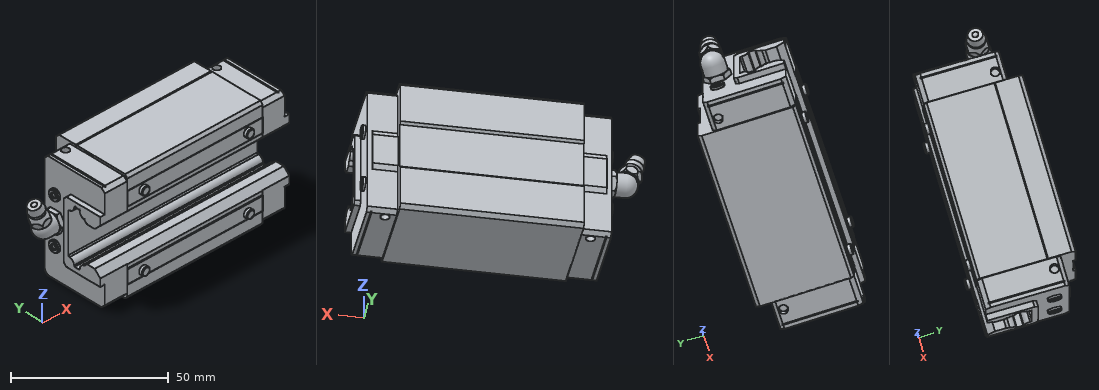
import cadquery as cq
import math


BLOCK_LENGTH = 59.4
BLOCK_WIDTH = 48.0
BLOCK_TOP = 32.7
BLOCK_BOTTOM = -0.1
BLOCK_TOP_CHAMFER = 1.4
BLOCK_BOTTOM_CHAMFER_Y = 1.0
BLOCK_BOTTOM_CHAMFER_Z = 1.2
RELIEF_DEPTH = 0.8
RELIEF_HALF_WIDTH = 8.0
DATUM_GROOVE_Y = 23.45
DATUM_GROOVE_WIDTH = 0.3
DATUM_GROOVE_DEPTH = 0.2

STRIP_BOTTOM = -0.3
STRIP_INNER_Z = 11.9
STRIP_INNER_BEVEL = 0.3
STRIP_OUTER_Z = 18.1
STRIP_SCREW_DIAMETER = 3.5
STRIP_SCREW_CHAMFER = 0.3
STRIP_SCREW_END_Y = -1.8
STRIP_SCREW_X = 23.0
STRIP_SCREW_Z = 15.6

CAP_END_X = 39.5
CAP_WIDTH = 46.2
CAP_TOP = 27.7
CAP_TOP_CHAMFER = 1.4
CAP_BOTTOM_CHAMFER_Y = 1.7
CAP_BOTTOM_CHAMFER_Z = 1.4
PAD_END_X = 37.8
PAD_HEIGHT = 0.8
PAD_HALF_WIDTH_TOP = 5.5
PAD_HALF_WIDTH_BASE = 7.3
JOINT_WIDTH = 0.3
JOINT_DEPTH = 0.3
PORT_DIAMETER = 3.0
PORT_DEPTH = 2.8
PORT_X = 33.2
PORT_Y = 24.7

FITTING_Y = 22.7
CAP_SCREW_Z = 9.9
CAP_SCREW_DIAMETER = 4.5
CAP_SCREW_HEIGHT = 1.0
CAP_SCREW_CHAMFER = 0.3
CAP_SCREW_SOCKET_DIAMETER = 2.2
CAP_SCREW_SOCKET_DEPTH = 0.6

SEAL_END_X = 41.5
SEAL_HALF_WIDTH = 13.5
SEAL_TOP = 16.8
SEAL_CHAMFER = 1.2

MOUTH_HALF_WIDTH = 10.2
LIP_HALF_WIDTH = 7.7
LIP_START_Y = 2.5
LIP_END_Y = 6.2
RACE_EDGE_HALF_WIDTH = 9.0
RACE_MIDDLE_HALF_WIDTH = 9.6
RACE_ROOT_HALF_WIDTH = 11.1
NECK_Y = 10.75
RACE_EDGE_OFFSET = 3.3
RACE_MIDDLE_OFFSET = 1.95
RACE_ROOT_OFFSET = 1.3
NECK_OFFSET = 1.0
NECK_HALF_WIDTH = 11.6
CHANNEL_ROOF_Y = 14.7
ROOF_HALF_WIDTH = 8.6

BASE_HEX_FLATS = 8.0
BASE_HEX_LENGTH = 1.95
BASE_HEX_CHAMFER = 0.5
ELBOW_DIAMETER = 8.0
ELBOW_CENTRE_X = -44.9
ARM_TILT = 21.0
ARM_HEX_FLATS = 6.9
ARM_HEX_START = 2.9
ARM_HEX_END = 6.5
ARM_HEX_START_DIAMETER = 6.9
ARM_HEX_END_DIAMETER = 6.0
ARM_HEX_LOWER_CHAMFER_LENGTH = 0.7
ARM_HEX_UPPER_CHAMFER_LENGTH = 1.9
NECK_DISTANCE = 7.0
NECK_DIAMETER = 5.5
HEAD_DISTANCE = 8.4
SHOULDER_BULGE = 0.1
HEAD_DIAMETER = 6.2
TIP_DISTANCE = 11.2
TIP_DIAMETER = 4.9
BALL_DIAMETER = 2.0
BALL_HEIGHT = 0.6


def prism(outline, start_x, end_x):
    """Extrude a closed (Y, Z) outline along X."""
    return outline.extrude(end_x - start_x).translate((start_x, 0, 0))


def section():
    return cq.Workplane("YZ")


def both_sides(half):
    """Complete a (Y, Z) half outline with its mirror image across Z = 0."""
    return half + [(y, -z) for y, z in reversed(half)]


def make_block():
    half_width = BLOCK_WIDTH / 2
    outline = both_sides([
        (BLOCK_TOP - RELIEF_DEPTH, RELIEF_HALF_WIDTH),
        (BLOCK_TOP, RELIEF_HALF_WIDTH + RELIEF_DEPTH),
        (BLOCK_TOP, half_width - BLOCK_TOP_CHAMFER),
        (BLOCK_TOP - BLOCK_TOP_CHAMFER, half_width),
        (BLOCK_BOTTOM + BLOCK_BOTTOM_CHAMFER_Y, half_width),
        (BLOCK_BOTTOM, half_width - BLOCK_BOTTOM_CHAMFER_Z),
    ])
    half_length = BLOCK_LENGTH / 2
    block = prism(section().polyline(outline).close(), -half_length, half_length)
    groove = cq.Workplane("XY").box(BLOCK_LENGTH, DATUM_GROOVE_WIDTH, 2 * DATUM_GROOVE_DEPTH)
    return block.cut(groove.translate((0, DATUM_GROOVE_Y, half_width)))


def make_strip(side):
    """Retainer strip on the rail-side face; side is +1 or -1 along Z."""
    half_length = BLOCK_LENGTH / 2
    outline = section().polyline([
        (0, side * STRIP_INNER_Z),
        (BLOCK_BOTTOM, side * STRIP_INNER_Z),
        (STRIP_BOTTOM, side * (STRIP_INNER_Z + STRIP_INNER_BEVEL)),
        (STRIP_BOTTOM, side * STRIP_OUTER_Z),
        (0, side * STRIP_OUTER_Z),
    ])
    return prism(outline.close(), -half_length, half_length)


def make_strip_screw(x, z):
    """Screw end standing out of a retainer strip toward -Y."""
    shank = cq.Workplane("XZ").circle(STRIP_SCREW_DIAMETER / 2).extrude(-STRIP_SCREW_END_Y)
    return shank.faces("<Y").chamfer(STRIP_SCREW_CHAMFER).translate((x, 0, z))


def make_end_cap():
    """End cap at the +X end, with its pad, joint grooves and ports."""
    start_x = BLOCK_LENGTH / 2
    half_width = CAP_WIDTH / 2
    outline = both_sides([
        (CAP_TOP, half_width - CAP_TOP_CHAMFER),
        (CAP_TOP - CAP_TOP_CHAMFER, half_width),
        (CAP_BOTTOM_CHAMFER_Y, half_width),
        (0, half_width - CAP_BOTTOM_CHAMFER_Z),
    ])
    cap = prism(section().polyline(outline).close(), start_x, CAP_END_X)
    pad_outline = both_sides([
        (CAP_TOP + PAD_HEIGHT, PAD_HALF_WIDTH_TOP),
        (CAP_TOP, PAD_HALF_WIDTH_BASE),
    ])
    cap = cap.union(prism(section().polyline(pad_outline).close(), start_x, PAD_END_X))
    for side in (1, -1):
        joint = cq.Workplane("XY").box(JOINT_WIDTH, 2 * CAP_TOP, 2 * JOINT_DEPTH)
        cap = cap.cut(joint.translate((PAD_END_X + JOINT_WIDTH / 2, 0, side * half_width)))
        port = cq.Workplane("XY").circle(PORT_DIAMETER / 2).extrude(2 * PORT_DEPTH)
        cap = cap.cut(port.translate((PORT_X, PORT_Y, side * half_width - PORT_DEPTH)))
    return cap


def make_cap_screw(z):
    """Socket-head screw on the +X face of an end cap."""
    head = cq.Workplane("YZ").circle(CAP_SCREW_DIAMETER / 2).extrude(CAP_SCREW_HEIGHT)
    head = head.faces(">X").chamfer(CAP_SCREW_CHAMFER)
    socket = cq.Workplane("YZ").circle(CAP_SCREW_SOCKET_DIAMETER / 2).extrude(CAP_SCREW_SOCKET_DEPTH)
    head = head.cut(socket.translate((CAP_SCREW_HEIGHT - CAP_SCREW_SOCKET_DEPTH, 0, 0)))
    return head.translate((CAP_END_X, FITTING_Y, z))


def make_seal():
    """End seal on the +X face of an end cap."""
    outline = both_sides([
        (SEAL_TOP, SEAL_HALF_WIDTH - SEAL_CHAMFER),
        (SEAL_TOP - SEAL_CHAMFER, SEAL_HALF_WIDTH),
        (0, SEAL_HALF_WIDTH),
    ])
    return prism(section().polyline(outline).close(), CAP_END_X, SEAL_END_X)


def make_rail_channel():
    """Cutter for the rail channel, running the full length of the carriage."""
    slope = (MOUTH_HALF_WIDTH - LIP_HALF_WIDTH) / LIP_START_Y
    floor_y = 2 * STRIP_BOTTOM
    floor_half_width = MOUTH_HALF_WIDTH - slope * floor_y
    half = (
        section()
        .moveTo(floor_y, 0)
        .lineTo(floor_y, floor_half_width)
        .lineTo(LIP_START_Y, LIP_HALF_WIDTH)
        .lineTo(LIP_END_Y, LIP_HALF_WIDTH)
        .lineTo(NECK_Y - RACE_EDGE_OFFSET, RACE_EDGE_HALF_WIDTH)
        .threePointArc(
            (NECK_Y - RACE_MIDDLE_OFFSET, RACE_MIDDLE_HALF_WIDTH),
            (NECK_Y - RACE_ROOT_OFFSET, RACE_ROOT_HALF_WIDTH),
        )
        .lineTo(NECK_Y - NECK_OFFSET, NECK_HALF_WIDTH)
        .lineTo(NECK_Y + NECK_OFFSET, NECK_HALF_WIDTH)
        .lineTo(NECK_Y + RACE_ROOT_OFFSET, RACE_ROOT_HALF_WIDTH)
        .threePointArc(
            (NECK_Y + RACE_MIDDLE_OFFSET, RACE_MIDDLE_HALF_WIDTH),
            (NECK_Y + RACE_EDGE_OFFSET, RACE_EDGE_HALF_WIDTH),
        )
        .lineTo(CHANNEL_ROOF_Y, ROOF_HALF_WIDTH)
        .lineTo(CHANNEL_ROOF_Y, 0)
        .close()
    )
    half = prism(half, -SEAL_END_X, SEAL_END_X)
    return half.union(half.mirror("XY"))


def make_carriage():
    carriage = make_block()
    for side in (1, -1):
        carriage = carriage.union(make_strip(side))
    for part in (make_end_cap(), make_seal(), make_cap_screw(CAP_SCREW_Z), make_cap_screw(-CAP_SCREW_Z)):
        carriage = carriage.union(part).union(part.mirror("YZ"))
    carriage = carriage.cut(make_rail_channel())
    for x in (STRIP_SCREW_X, -STRIP_SCREW_X):
        for z in (STRIP_SCREW_Z, -STRIP_SCREW_Z):
            carriage = carriage.union(make_strip_screw(x, z))
    return carriage


def hex_corners(flats):
    return flats / math.cos(math.radians(30))


def make_nipple_base():
    """Hexagon seated on the -X end cap, its free corners chamfered."""
    corners = hex_corners(BASE_HEX_FLATS)
    base = cq.Workplane("YZ").polygon(6, corners).extrude(-BASE_HEX_LENGTH)
    rounding = cq.Workplane("YZ").circle(corners / 2).extrude(-BASE_HEX_LENGTH)
    base = base.intersect(rounding.faces("<X").chamfer(BASE_HEX_CHAMFER))
    return base.translate((-CAP_END_X, 0, 0))


def make_nipple_elbow():
    radius = ELBOW_DIAMETER / 2
    length = -CAP_END_X - ELBOW_CENTRE_X
    pipe = cq.Workplane("YZ").circle(radius).extrude(length)
    return pipe.union(cq.Workplane("XY").sphere(radius)).translate((ELBOW_CENTRE_X, 0, 0))


def make_nipple_arm():
    """Hexagon, neck and head along +Z from the elbow centre."""
    corners = hex_corners(ARM_HEX_FLATS)
    hexagon = cq.Workplane("XY").polygon(6, corners).extrude(ARM_HEX_END)
    hex_rounding = (
        cq.Workplane("XZ")
        .moveTo(0, ARM_HEX_START)
        .lineTo(ARM_HEX_START_DIAMETER / 2, ARM_HEX_START)
        .lineTo(corners / 2, ARM_HEX_START + ARM_HEX_LOWER_CHAMFER_LENGTH)
        .lineTo(corners / 2, ARM_HEX_END - ARM_HEX_UPPER_CHAMFER_LENGTH)
        .lineTo(ARM_HEX_END_DIAMETER / 2, ARM_HEX_END)
        .lineTo(0, ARM_HEX_END)
        .close()
        .revolve(360, (0, 0, 0), (0, 1, 0))
    )
    ball_edge_radius = BALL_DIAMETER / 2
    ball_radius = (ball_edge_radius ** 2 + BALL_HEIGHT ** 2) / (2 * BALL_HEIGHT)
    ball_top = TIP_DISTANCE + BALL_HEIGHT
    half_angle = math.asin(ball_edge_radius / ball_radius) / 2
    ball_mid = (
        ball_radius * math.sin(half_angle),
        ball_top - ball_radius * (1 - math.cos(half_angle)),
    )
    shoulder_z = (NECK_DISTANCE + HEAD_DISTANCE) / 2
    shoulder_radius = (NECK_DIAMETER + HEAD_DIAMETER) / 4 + SHOULDER_BULGE
    head = (
        cq.Workplane("XZ")
        .moveTo(0, ARM_HEX_END)
        .lineTo(ARM_HEX_END_DIAMETER / 2, ARM_HEX_END)
        .lineTo(NECK_DIAMETER / 2, NECK_DISTANCE)
        .threePointArc((shoulder_radius, shoulder_z), (HEAD_DIAMETER / 2, HEAD_DISTANCE))
        .lineTo(TIP_DIAMETER / 2, TIP_DISTANCE)
        .lineTo(ball_edge_radius, TIP_DISTANCE)
        .threePointArc(ball_mid, (0, ball_top))
        .close()
        .revolve(360, (0, 0, 0), (0, 1, 0))
    )
    arm = hexagon.intersect(hex_rounding).union(head)
    arm = arm.rotate((0, 0, 0), (0, 1, 0), -ARM_TILT)
    return arm.translate((ELBOW_CENTRE_X, 0, 0))


def make_grease_nipple():
    nipple = make_nipple_elbow().union(make_nipple_base()).union(make_nipple_arm())
    return nipple.translate((0, FITTING_Y, 0))


carriage = make_carriage()
grease_nipple = make_grease_nipple()

result = cq.Compound.makeCompound([carriage.val(), grease_nipple.val()])